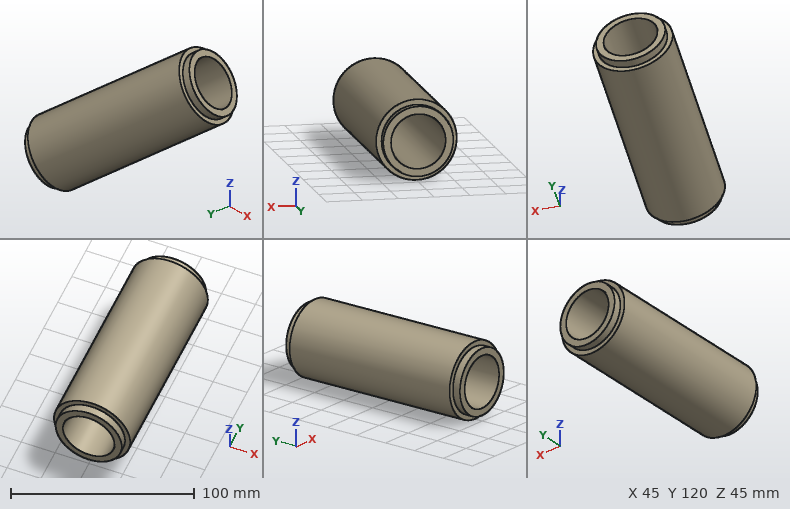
import cadquery as cq

total_length = 120.0
body_diameter = 45.0
spigot_diameter = 39.0
bore_diameter = 30.5
spigot_length = 4.8

body_length = total_length - 2 * spigot_length


def centred_cylinder(diameter, length):
    """Cylinder along Y, centred on the origin."""
    end_plane = cq.Workplane("XZ", origin=(0, length / 2, 0))
    return end_plane.circle(diameter / 2).extrude(length)


body = centred_cylinder(body_diameter, body_length)
spigots = centred_cylinder(spigot_diameter, total_length)

bore = centred_cylinder(bore_diameter, total_length)

result = body.union(spigots).cut(bore)